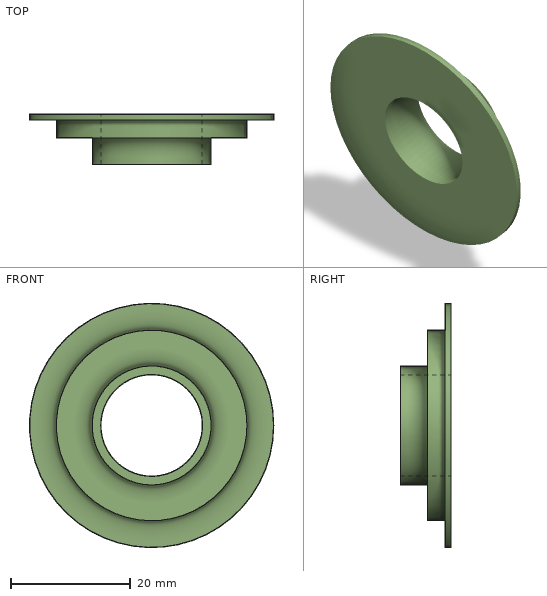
import cadquery as cq

flange_diameter = 41.0
step_diameter = 32.0
hub_diameter = 19.95
bore_diameter = 17.0

total_length = 8.5
flange_thickness = 1.0
step_thickness = 3.0
hub_length = total_length - flange_thickness - step_thickness


def add_disc(body, diameter, length):
    """Add a coaxial disc to the -Y end of the body."""
    return body.faces("<Y").workplane().circle(diameter / 2).extrude(length)


flange = cq.Workplane("XZ").circle(flange_diameter / 2).extrude(flange_thickness)
stepped_flange = add_disc(flange, step_diameter, step_thickness)
bushing = add_disc(stepped_flange, hub_diameter, hub_length)

result = bushing.faces("<Y").workplane().hole(bore_diameter)